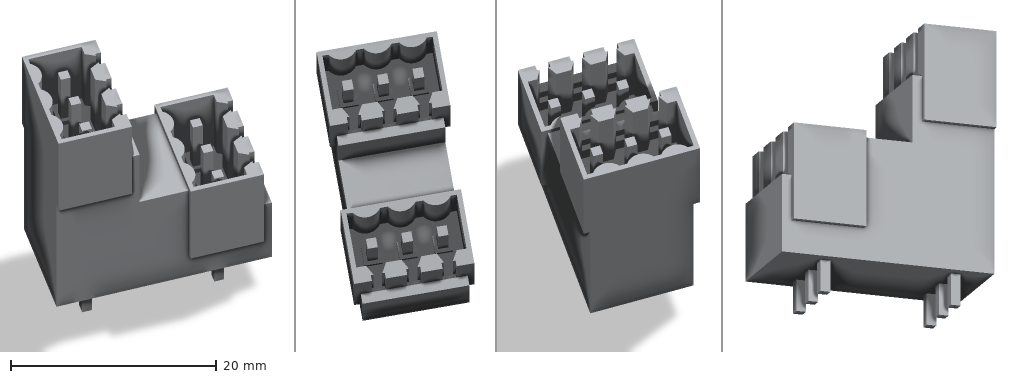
import cadquery as cq


overall_width = 11.9
overall_depth = 22.0
overall_height = 27.77
tail_length = 3.2

tier_shift_y = 13.5
tier_drop = 11.5
front_tier = (0, overall_height)
rear_tier = (tier_shift_y, overall_height - tier_drop)
tiers = [front_tier, rear_tier]

base_width = 10.58
base_ledge = 1.0
ledge_drop = 5.17
middle_step_height = 12.52
middle_step_top = tail_length + middle_step_height

shroud_depth = overall_depth - tier_shift_y - base_ledge
shroud_height = 9.8
side_wall = 0.5
front_wall = 0.47
rear_wall = 1.58
pocket_depth = 7.5
pocket_width = overall_width - 2 * side_wall
pocket_rear = shroud_depth - rear_wall

pin_pitch = 3.5
pin_columns = [-pin_pitch, 0, pin_pitch]
pin_from_front = 3.53

slot_width = 1.4
slot_length = 0.58
slot_depth = 6.1
mouth_wide = 1.97
mouth_narrow = 0.85
mouth_end = shroud_depth - slot_length

rib_chord = 2.72
rib_rise = 0.7

pin_size = 1.0
pin_tip_drop = 1.22
collar_size = 1.78
collar_height = 0.55


def block(width, y_front, y_rear, z_bottom, z_top, x_middle=0):
    """Box centred on x_middle between the given Y and Z limits."""
    return (
        cq.Workplane("XY")
        .box(width, y_rear - y_front, z_top - z_bottom, centered=(True, False, False))
        .translate((x_middle, y_front, z_bottom))
    )


def make_base():
    """Stepped side profile extruded across the base width."""
    front_ledge_rear = shroud_depth + base_ledge
    front_ledge_top = front_tier[1] - ledge_drop
    rear_ledge_top = rear_tier[1] - ledge_drop
    return (
        cq.Workplane("YZ")
        .moveTo(0, tail_length)
        .lineTo(overall_depth, tail_length)
        .lineTo(overall_depth, rear_ledge_top)
        .lineTo(tier_shift_y, rear_ledge_top)
        .lineTo(tier_shift_y, middle_step_top)
        .lineTo(front_ledge_rear, middle_step_top)
        .lineTo(front_ledge_rear, front_ledge_top)
        .lineTo(0, front_ledge_top)
        .close()
        .extrude(base_width / 2, both=True)
    )


def make_rib(x, y_front, z_bottom, z_top):
    """Circular-segment rib standing on the front wall of a pocket."""
    y_wall = y_front + front_wall
    return (
        cq.Workplane("XY", origin=(x, y_wall, z_bottom))
        .moveTo(-rib_chord / 2, 0)
        .threePointArc((0, rib_rise), (rib_chord / 2, 0))
        .close()
        .extrude(z_top - z_bottom)
    )


def make_mouth(x, y_front, z_bottom, z_top):
    """Trapezoidal groove that narrows from the pocket towards the rear face."""
    return (
        cq.Workplane("XY", origin=(x, y_front, z_bottom))
        .moveTo(-mouth_wide / 2, pocket_rear)
        .lineTo(mouth_wide / 2, pocket_rear)
        .lineTo(mouth_narrow / 2, mouth_end)
        .lineTo(-mouth_narrow / 2, mouth_end)
        .close()
        .extrude(z_top - z_bottom)
    )


def make_cavity(y_front, z_top):
    """Space inside one shroud: pocket and grooves, less the ribs and collars."""
    floor = z_top - pocket_depth
    collar_front = y_front + pin_from_front - collar_size / 2
    cavity = block(pocket_width, y_front + front_wall, y_front + pocket_rear, floor, z_top)
    for x in pin_columns:
        slot = block(slot_width, y_front + mouth_end, y_front + shroud_depth, z_top - slot_depth, z_top, x)
        collar = block(collar_size, collar_front, collar_front + collar_size, floor, floor + collar_height, x)
        cavity = cavity.union(make_mouth(x, y_front, floor, z_top))
        cavity = cavity.union(slot)
        cavity = cavity.cut(make_rib(x, y_front, floor, z_top))
        cavity = cavity.cut(collar)
    return cavity


def make_pin(x, y_front, z_top):
    """Straight square pin from the tail tip to below the shroud rim."""
    pin_front = y_front + pin_from_front - pin_size / 2
    return block(pin_size, pin_front, pin_front + pin_size, 0, z_top - pin_tip_drop, x)


def make_housing(pins):
    """Base and shrouds as one solid, hollowed and pierced by a fitting hole for each pin."""
    housing = make_base()
    for y_front, z_top in tiers:
        shroud = block(overall_width, y_front, y_front + shroud_depth, z_top - shroud_height, z_top)
        housing = housing.union(shroud)
    for y_front, z_top in tiers:
        housing = housing.cut(make_cavity(y_front, z_top))
    for pin in pins:
        housing = housing.cut(pin)
    return housing


pins = [make_pin(x, y_front, z_top) for y_front, z_top in tiers for x in pin_columns]
housing = make_housing(pins)

result = cq.Compound.makeCompound([housing.val(), *[pin.val() for pin in pins]])